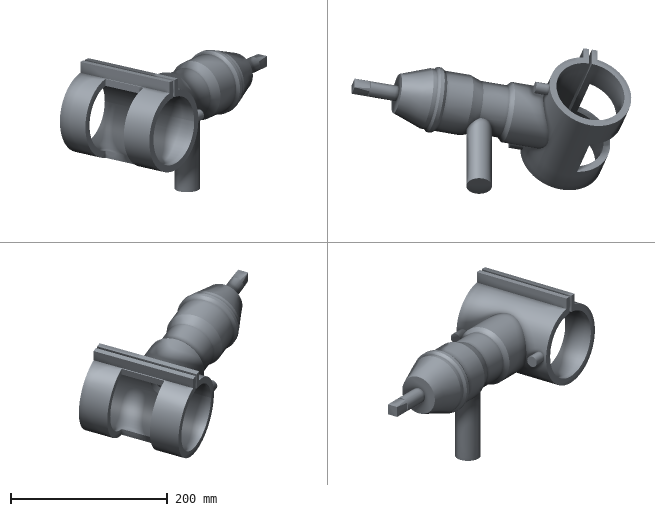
import cadquery as cq


clamp_length = 140.0
clamp_radius = 54.0
bore_radius = 45.0
flange_top = 68.0
flange_half_span = 9.0
split_gap = 4.0

window_width = 60.0
window_back = -10.0

socket_radius = 15.0
socket_end = clamp_radius

body_radius = 39.0
waist_radius = 34.0
bead_radius = 42.2
nose_radius = 25.5
shoulder_start = 91.5
waist_start = 97.0
waist_end = 132.0
barrel_start = 146.5
bead_start = 181.0
bead_crest_start = 185.3
bead_crest_end = 190.2
bead_end = 193.5
nose_start = 199.3
nose_end = 237.3

bit_radius = 9.95
tip_start = 274.5
tip_end = 295.0
tip_base_width = 16.8
tip_end_width = 14

handle_radius = 16.5
handle_y = 128.0
handle_bottom = -126.5

pin_radius = 7.5
pin_x = 59.7
pin_end = 71.0


def plane_at(y):
    """Sketch plane facing +Y, with local axes along X and -Z."""
    return cq.Plane(origin=(0, y, 0), xDir=(1, 0, 0), normal=(0, 1, 0))


def cylinder_y(radius, start, end, x=0):
    return cq.Workplane(plane_at(start)).center(x, 0).circle(radius).extrude(end - start)


def cylinder_x(radius):
    return cq.Workplane("YZ").circle(radius).extrude(clamp_length / 2, both=True)


def make_clamp_blank():
    flange = cq.Workplane("XY").box(
        clamp_length, 2 * flange_half_span, flange_top, centered=(True, True, False)
    )
    return cylinder_x(clamp_radius).union(flange)


def make_body():
    profile = [
        (0, 0),
        (body_radius, 0),
        (body_radius, shoulder_start),
        (waist_radius, waist_start),
        (waist_radius, waist_end),
        (body_radius, barrel_start),
        (body_radius, bead_start),
        (bead_radius, bead_crest_start),
        (bead_radius, bead_crest_end),
        (body_radius, bead_end),
        (body_radius, nose_start),
        (nose_radius, nose_end),
        (0, nose_end),
    ]
    return cq.Workplane("XY").polyline(profile).close().revolve(360, (0, 0), (0, 1))


def make_bit():
    shank = cylinder_y(bit_radius, nose_end, tip_start)
    taper = (
        cq.Workplane(plane_at(tip_start))
        .rect(tip_base_width, tip_base_width)
        .workplane(offset=tip_end - tip_start)
        .rect(tip_end_width, tip_end_width)
        .loft(ruled=True)
    )
    tip = cylinder_y(bit_radius, tip_start, tip_end).intersect(taper)
    return shank.union(tip)


def make_handle():
    return cq.Workplane("XY").center(0, handle_y).circle(handle_radius).extrude(handle_bottom)


def make_split():
    return cq.Workplane("XY").box(
        clamp_length, split_gap, flange_top, centered=(True, True, False)
    )


def make_window():
    depth = clamp_radius + window_back
    center_y = window_back - depth / 2
    return cq.Workplane("XY").box(window_width, depth, 2 * clamp_radius).translate((0, center_y, 0))


result = make_clamp_blank().union(make_body()).union(make_bit()).union(make_handle())
for x in (-pin_x, pin_x):
    result = result.union(cylinder_y(pin_radius, 0, pin_end, x))

result = result.cut(cylinder_x(bore_radius))
result = result.cut(make_split())
result = result.cut(make_window())
result = result.cut(cylinder_y(socket_radius, 0, socket_end))